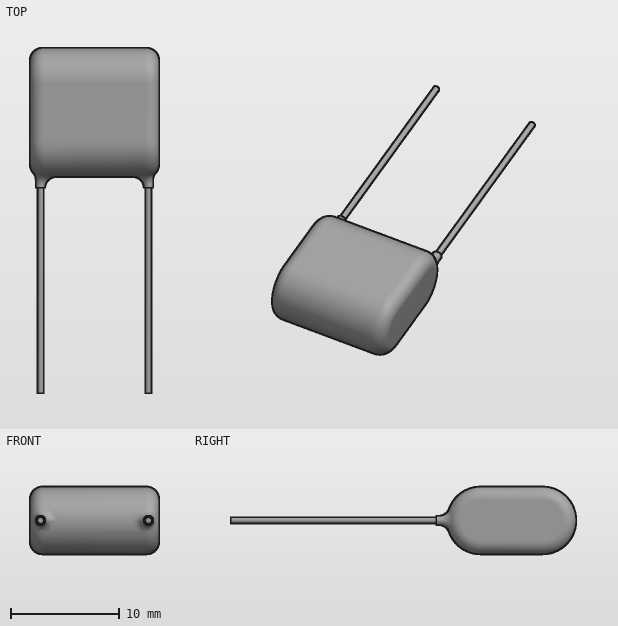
import cadquery as cq

overall_length = 32.0
case_width = 12.0
case_length = 12.0
case_thickness = 6.3
case_edge_radius = 1.2

lead_pitch = 10.0
lead_diameter = 0.6

collar_diameter = 0.9
collar_length = 1.0
collar_fillet_radius = 0.95

case_front = -case_length / 2
collar_end = case_front - collar_length
lead_length = overall_length - case_length - collar_length
lead_positions = [-lead_pitch / 2, lead_pitch / 2]


def rod_along_minus_y(x, start_y, diameter, length):
    """Round rod on the case's middle plane, running from start_y toward -Y."""
    return (
        cq.Workplane("XZ", origin=(x, start_y, 0))
        .circle(diameter / 2)
        .extrude(length)
    )


def make_case():
    """Obround case with rounded end rims and a filleted collar for each lead."""
    case = (
        cq.Workplane("YZ")
        .slot2D(case_length, case_thickness)
        .extrude(case_width / 2, both=True)
        .faces("<X or >X")
        .edges()
        .fillet(case_edge_radius)
    )

    for x in lead_positions:
        collar = rod_along_minus_y(x, 0, collar_diameter, -collar_end)
        case = case.union(collar)

    root_box_half_size = collar_diameter
    for x in lead_positions:
        root_box = cq.selectors.BoxSelector(
            (x - root_box_half_size, collar_end + collar_length / 2, -root_box_half_size),
            (x + root_box_half_size, case_front + case_edge_radius, root_box_half_size),
            boundingbox=True,
        )
        roots = case.edges(root_box).edges("not |Y")
        case = roots.fillet(collar_fillet_radius)
    return case


def make_lead(x):
    """Straight wire lead that butts against the end of its collar."""
    return rod_along_minus_y(x, collar_end, lead_diameter, lead_length)


case = make_case()
leads = [make_lead(x) for x in lead_positions]

result = cq.Compound.makeCompound([case.val(), *[lead.val() for lead in leads]])